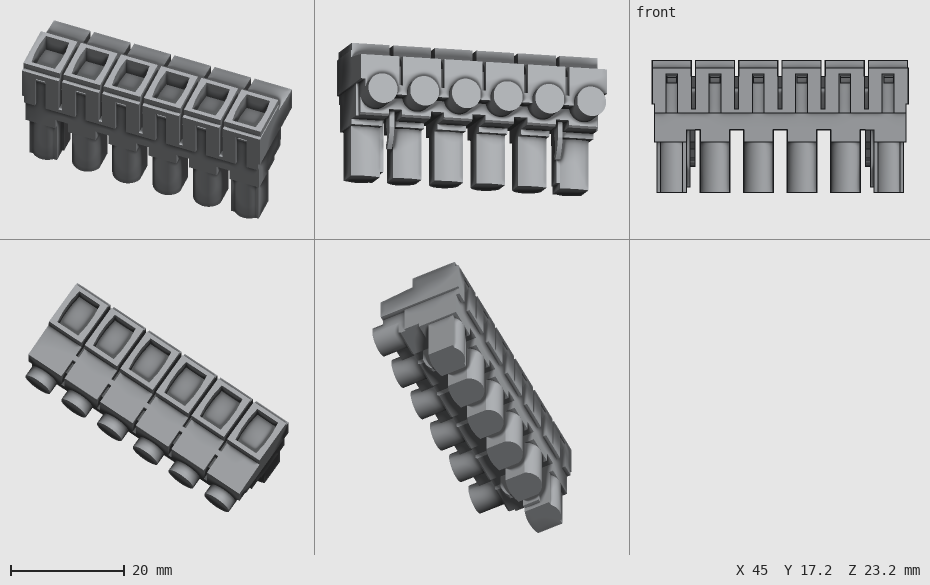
import cadquery as cq
import math


pole_count = 6
length = 45.05
half_length = length / 2
height = 23.25
depth = 17.25

pole_span = 38.15
pole_pitch = pole_span / (pole_count - 1)
pole_centers = [pole_pitch * i - pole_span / 2 for i in range(pole_count)]
end_centers = [pole_centers[0], pole_centers[-1]]
pole_width = 5.22

upper_bottom = 15.55
lip_top = 21.95
front_setback = 0.68
tower_back = 8.95
slope_front_z = 20.67
slope_back_z = 19.9
back_wall = 15.2
end_skin = 0.15

slot_width = 0.68
cell_width = (length - end_skin - (pole_count - 1) * slot_width) / pole_count
cell_pitch = cell_width + slot_width
cell_centers = [-half_length + cell_width / 2 + cell_pitch * i for i in range(pole_count)]
slot_centers = [center + cell_pitch / 2 for center in cell_centers[:-1]]
slot_low_floor = 14.75
slot_high_floor = 18.38
front_slot_step = 1.4
web_front = 10.75
web_back = 11.7
back_slot_step = 13.85

pocket_front = 1.4
pocket_back = 8.2
pocket_end_width = 4.4
pocket_mid_width = 5.0
pocket_depth = 3.45

window_width = 2.03
window_top = 20.8
front_skin_bottom = 13.95

lower_width = 44.2
lower_half_width = lower_width / 2
lower_bottom = 11.05
lower_back = web_front
foot_bottom = 8.87
foot_back = 7.9
heel_bottom = 9.8
rear_block_back = 12.05
rear_block_chamfer = 0.35
rear_width = pole_span + pole_width

barrel_z = 13.5
barrel_radius = 2.65
barrel_flat_half = math.sqrt(barrel_radius**2 - (pole_width / 2) ** 2)
barrel_flat_bottom = barrel_z - barrel_flat_half

leg_radius = 2.8
leg_axis_y = front_setback + leg_radius
end_leg_front = 1.45
leg_side_back = 6.2
leg_back = 6.65

rib_inner_x = 15.8
rib_front = 3.15
rib_bottom = 1.0
hook_inner_x = 14.95
hook_front = foot_back
hook_back = 10.22
hook_tip_z = 4.65
hook_tip_front = 8.05
hook_tip_back = 8.65
hook_neck = 8.4
hook_neck_top = 7.65
hook_neck_bottom = 6.13
hook_back_straight_end = 8.3
hook_back_bow = (9.65, 6.3)
hook_nose_top = (8.2, 5.75)
hook_nose_tip = (hook_front, 5.5)
hook_nose_bottom = (7.93, 5.05)

insert_thickness = 0.45
nub_width = 1.7
nub_reach = 0.6
nub_top = 20.55
nub_edge_z = 20.25
nub_bottom = 19.28


def block(x0, x1, y0, y1, z0, z1):
    """Box between two opposite corners."""
    return cq.Workplane("XY").box(x1 - x0, y1 - y0, z1 - z0, centered=False).translate((x0, y0, z0))


def centered_block(center, width, y0, y1, z0, z1):
    """Box of the given width in X about a centre."""
    return block(center - width / 2, center + width / 2, y0, y1, z0, z1)


def side_prism(points, x0, x1):
    """Outline of (y, z) points extruded from x0 to x1."""
    return cq.Workplane("YZ").polyline(points).close().extrude(x1 - x0).translate((x0, 0, 0))


def make_upper():
    """Stepped upper housing; the last cell has a thin end skin below its tower rim."""
    outline = [
        (0, upper_bottom),
        (0, lip_top),
        (front_setback, lip_top),
        (front_setback, height),
        (tower_back, height),
        (tower_back, slope_front_z),
        (back_wall, slope_back_z),
        (back_wall, upper_bottom),
    ]
    upper = side_prism(outline, -half_length, half_length)
    rim_relief = block(half_length - end_skin, half_length, 0, back_wall, lip_top, height)
    return upper.cut(rim_relief)


def make_lower():
    """Lower housing with the front skin, the narrower rear and one foot per pole."""
    lower = centered_block(0, lower_width, front_setback, lower_back, lower_bottom, upper_bottom)
    front_skin = centered_block(0, lower_width, 0, front_setback, front_skin_bottom, upper_bottom)
    rear = centered_block(0, rear_width, lower_back, rear_block_back, lower_bottom, upper_bottom)
    shelf = centered_block(0, rear_width, rear_block_back, back_wall, barrel_flat_bottom, upper_bottom)
    lower = lower.union(front_skin).union(rear).union(shelf)
    for center in pole_centers:
        lower = lower.union(make_foot(center))
    return lower


def make_foot(center):
    """Stepped foot below one pole; the end feet reach out to the ends of the lower housing."""
    left = center - pole_width / 2
    right = center + pole_width / 2
    front_left = -lower_half_width if center == pole_centers[0] else left
    front_right = lower_half_width if center == pole_centers[-1] else right
    toe = block(front_left, front_right, front_setback, foot_back, foot_bottom, lower_bottom)
    heel = block(front_left, front_right, foot_back, lower_back, heel_bottom, lower_bottom)
    rear = block(left, right, lower_back, rear_block_back, heel_bottom, lower_bottom)
    rear = rear.faces(">Y").edges("<Z").chamfer(rear_block_chamfer)
    return toe.union(heel).union(rear)


def make_barrel(center):
    """Round screw barrel along Y with flats on both sides."""
    barrel = cq.Workplane("XZ").circle(barrel_radius).extrude(lower_back - depth)
    barrel = barrel.translate((center, lower_back, barrel_z))
    flats = centered_block(center, pole_width, 0, depth, 0, height)
    return barrel.intersect(flats)


def make_leg(center):
    """Contact leg with a round front and a slightly bulged back; the end legs have front corners."""
    half = pole_width / 2
    is_end = center in end_centers
    front_half = math.sqrt(leg_radius**2 - (leg_axis_y - end_leg_front) ** 2) if is_end else half
    arc_y = leg_axis_y - math.sqrt(leg_radius**2 - front_half**2)
    sketch = cq.Workplane("XY").moveTo(-front_half, arc_y)
    sketch = sketch.threePointArc((0, front_setback), (front_half, arc_y))
    if is_end:
        sketch = sketch.lineTo(half, arc_y)
    sketch = sketch.lineTo(half, leg_side_back)
    sketch = sketch.threePointArc((0, leg_back), (-half, leg_side_back))
    if is_end:
        sketch = sketch.lineTo(-half, arc_y)
    return sketch.close().extrude(foot_bottom).translate((center, 0, 0))


def make_rib():
    """Coding rib on the inner side of the left end leg."""
    inner_side = end_centers[0] + pole_width / 2
    return block(inner_side, -rib_inner_x, rib_front, leg_side_back, rib_bottom, lower_bottom)


def make_hook():
    """Curved latch hook hanging beside the left end leg."""
    sketch = (
        cq.Workplane("YZ")
        .moveTo(hook_back, lower_bottom)
        .lineTo(hook_back, hook_back_straight_end)
        .threePointArc(hook_back_bow, (hook_tip_back, hook_tip_z))
        .lineTo(hook_tip_front, hook_tip_z)
        .lineTo(*hook_nose_bottom)
        .threePointArc(hook_nose_tip, hook_nose_top)
        .lineTo(hook_neck, hook_neck_bottom)
        .lineTo(hook_neck, hook_neck_top)
        .lineTo(hook_front, foot_bottom)
        .lineTo(hook_front, lower_bottom)
        .close()
    )
    return sketch.extrude(rib_inner_x - hook_inner_x).translate((-rib_inner_x, 0, 0))


def make_slot(center):
    """Stepped slots in front of and behind the web that joins two cells."""
    front_low = centered_block(center, slot_width, 0, front_slot_step, slot_low_floor, height)
    front_high = centered_block(center, slot_width, front_slot_step, web_front, slot_high_floor, height)
    back_high = centered_block(center, slot_width, web_back, back_slot_step, slot_high_floor, height)
    back_low = centered_block(center, slot_width, back_slot_step, back_wall, slot_low_floor, height)
    return front_low.union(front_high).union(back_high).union(back_low)


def make_pocket(center):
    """Wire pocket with bowed sides, open at the top."""
    end_half = pocket_end_width / 2
    mid_half = pocket_mid_width / 2
    middle = (pocket_front + pocket_back) / 2
    return (
        cq.Workplane("XY")
        .moveTo(-end_half, pocket_front)
        .lineTo(end_half, pocket_front)
        .threePointArc((mid_half, middle), (end_half, pocket_back))
        .lineTo(-end_half, pocket_back)
        .threePointArc((-mid_half, middle), (-end_half, pocket_front))
        .close()
        .extrude(pocket_depth)
        .translate((center, 0, height - pocket_depth))
    )


def make_window(center):
    """Window through the front skin, with room behind for the insert."""
    window_back = front_setback + insert_thickness
    return centered_block(center, window_width, 0, window_back, front_skin_bottom, window_top)


def make_insert(window_center, nub_center):
    """Plate at the back of a window with a ramped latch nub."""
    plate_back = front_setback + insert_thickness
    plate = centered_block(
        window_center, window_width, front_setback, plate_back, front_skin_bottom, window_top
    )
    nub_outline = [
        (front_setback, nub_top),
        (front_setback - nub_reach, nub_top),
        (front_setback - nub_reach, nub_edge_z),
        (front_setback, nub_bottom),
    ]
    nub = side_prism(nub_outline, nub_center - nub_width / 2, nub_center + nub_width / 2)
    return plate.union(nub)


def make_housing():
    """Housing with barrels, legs, ribs and hooks, cut by the slots, pockets and windows."""
    housing = make_upper().union(make_lower())
    for center in pole_centers:
        housing = housing.union(make_barrel(center)).union(make_leg(center))
    for fitting in (make_rib(), make_hook()):
        housing = housing.union(fitting).union(fitting.mirror("YZ"))
    for center in slot_centers:
        housing = housing.cut(make_slot(center))
    for center in cell_centers:
        housing = housing.cut(make_pocket(center)).cut(make_window(center))
    return housing


housing = make_housing()
inserts = [make_insert(window, nub) for window, nub in zip(cell_centers, pole_centers)]

result = cq.Compound.makeCompound([housing.val(), *[insert.val() for insert in inserts]])